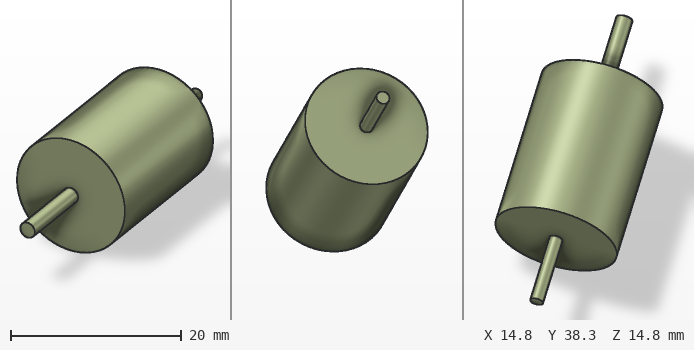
import cadquery as cq

total_length = 38.3
body_diameter = 14.8
body_length = 20.0
front_shaft_diameter = 2.0
front_shaft_length = 9.8
rear_shaft_diameter = 1.57
rear_shaft_length = total_length - body_length - front_shaft_length


def cylinder_along_y(diameter, length, start_y):
    """Solid cylinder on the Y axis, running from start_y toward +Y."""
    start = cq.Vector(0, start_y, 0)
    return cq.Workplane(cq.Solid.makeCylinder(diameter / 2, length, start, cq.Vector(0, 1, 0)))


body = cylinder_along_y(body_diameter, body_length, 0)
front_shaft = cylinder_along_y(front_shaft_diameter, front_shaft_length, -front_shaft_length)
rear_shaft = cylinder_along_y(rear_shaft_diameter, rear_shaft_length, body_length)

result = body.union(front_shaft).union(rear_shaft)